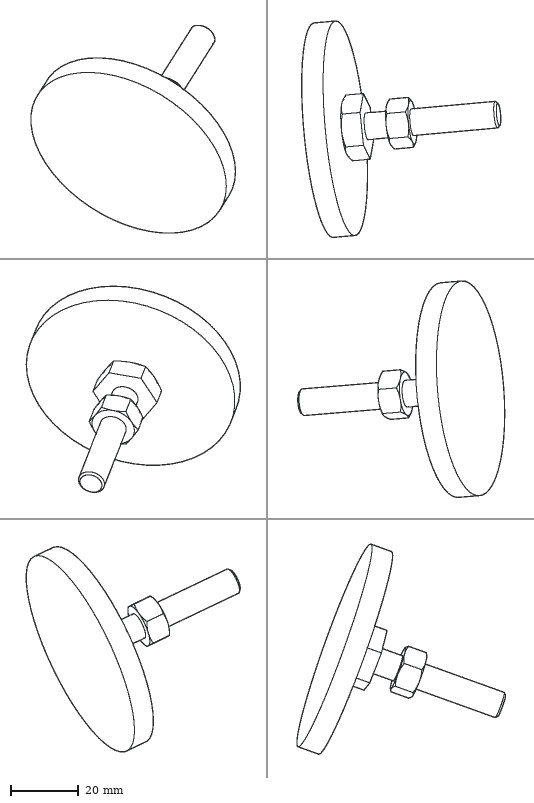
import cadquery as cq
import math

overall_length = 53.0

pad_diameter = 64.0
pad_thickness = 6.5

neck_diameter = 3.5
neck_length = 0.4
head_across_flats = 17.0
head_height = 6.15
stud_diameter = 8.0
stud_end_chamfer = 0.65

nut_across_flats = 13.0
nut_height = 6.8
nut_gap = 7.05

corner_chamfer_angle = 30.0

head_start = pad_thickness + neck_length
stud_start = head_start + head_height
nut_start = stud_start + nut_gap


def cylinder(diameter, start, length):
    """Cylinder on the Y axis, from Y = start towards +Y."""
    return cq.Workplane("XZ", origin=(0, start, 0)).circle(diameter / 2).extrude(-length)


def hexagon(across_flats, start, height, chamfer_back):
    """Hexagon with corners on the X axis, its front (and optionally back) corners trimmed by a cone."""
    flat_radius = across_flats / 2
    corner_radius = flat_radius / math.cos(math.radians(30))
    chamfer_depth = (corner_radius - flat_radius) * math.tan(math.radians(corner_chamfer_angle))
    end = start + height
    prism = (
        cq.Workplane("XZ", origin=(0, start, 0))
        .polygon(6, 2 * corner_radius)
        .extrude(-height)
    )

    section = [(0, start), (flat_radius, start), (corner_radius, start + chamfer_depth)]
    if chamfer_back:
        section += [(corner_radius, end - chamfer_depth), (flat_radius, end)]
    else:
        section += [(corner_radius, end)]
    section += [(0, end)]
    envelope = cq.Workplane("XY").polyline(section).close().revolve(360, (0, 0, 0), (0, 1, 0))
    return prism.intersect(envelope)


def make_pad():
    return cylinder(pad_diameter, 0, pad_thickness)


def make_stud():
    neck = cylinder(neck_diameter, pad_thickness, neck_length)
    head = hexagon(head_across_flats, head_start, head_height, chamfer_back=False)
    shank = cylinder(stud_diameter, stud_start, overall_length - stud_start)
    shank = shank.faces(">Y").chamfer(stud_end_chamfer)
    return neck.union(head).union(shank)


def make_nut():
    body = hexagon(nut_across_flats, nut_start, nut_height, chamfer_back=True)
    return body.cut(cylinder(stud_diameter, nut_start, nut_height))


pad = make_pad()
stud = make_stud()
nut = make_nut()

result = cq.Compound.makeCompound([pad.val(), stud.val(), nut.val()])